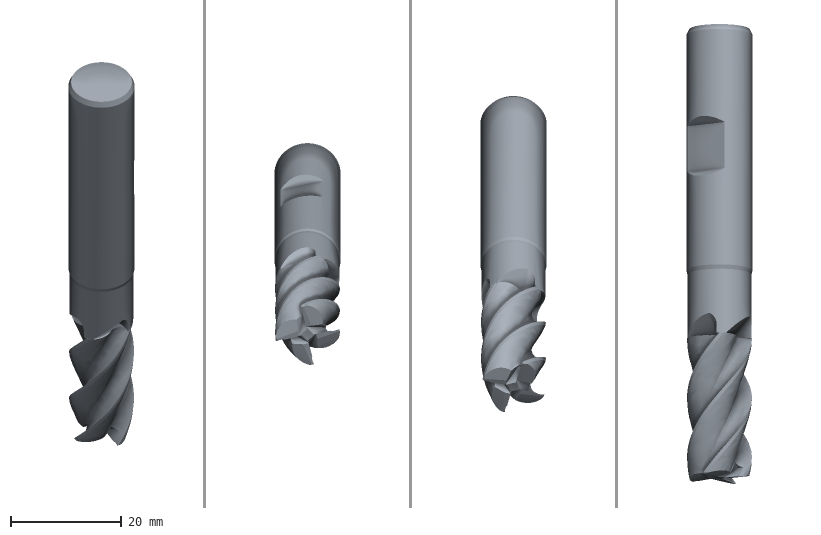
import cadquery as cq
import math

total_length = 83.0
shank_diameter = 12.0
shank_radius = shank_diameter / 2
cutter_diameter = 11.8
cutter_radius = cutter_diameter / 2

cutter_length = 26.0
neck_top = 37.8
neck_radius = 5.8
end_chamfer_height = 1.0
end_chamfer_width = 0.5
neck_cone_height = 0.75

flat_depth = 1.5
flat_center_z = 60.6
flat_length = 8.5
flat_wall_angle = 50.0

flute_count = 4
flute_step = 360.0 / flute_count
helix_angle = 40.0
helix_pitch = math.pi * cutter_diameter / math.tan(math.radians(helix_angle))
cutter_twist = 360.0 * cutter_length / helix_pitch

land_radius = 5.8
land_angle = 8.0
back_radius = 4.65
back_angle = 37.0
heel_radius = 3.4
heel_angle = 61.0
trough_radius = 3.4
trough_angle = 78.0

runout_top = 29.7
runout_slope = 46.0
runout_turn = 22.0
runout_wall = 2.65
runout_corner = 1.25

corner_chamfer = 0.25
dish_depth = 0.25
end_land = 0.5
clearance_angle = 15.0
gash_height = 2.3
gash_inner = 0.8
gash_width = 1.4
gash_lean = 35.0


def polar(radius, angle):
    """Point at a radius and an angle in degrees, in the XY plane."""
    return (radius * math.cos(math.radians(angle)), radius * math.sin(math.radians(angle)))


def clamping_flat():
    """Trapezoid notch across the shank, narrowing toward its flat floor."""
    floor_y = shank_radius - flat_depth
    half_floor = flat_length / 2
    half_mouth = half_floor + flat_depth / math.tan(math.radians(flat_wall_angle))
    return (
        cq.Workplane("YZ", origin=(0, 0, flat_center_z))
        .moveTo(floor_y, -half_floor)
        .lineTo(shank_radius, -half_mouth)
        .lineTo(shank_radius, half_mouth)
        .lineTo(floor_y, half_floor)
        .close()
        .extrude(shank_radius, both=True)
    )


def flute_runout(index):
    """Ramp that lets one flute run out of the neck, closed by an upright wall on one side."""
    ramp_run = (runout_top - cutter_length) / math.tan(math.radians(runout_slope))
    ramp = (
        cq.Workplane("XZ")
        .moveTo(neck_radius - ramp_run, cutter_length)
        .lineTo(neck_radius, cutter_length)
        .lineTo(neck_radius, runout_top)
        .close()
        .extrude(shank_diameter, both=True)
        .rotate((0, 0, 0), (0, 0, 1), runout_turn)
    )
    wall_side = (
        cq.Workplane("XY", origin=(0, runout_wall - shank_diameter, cutter_length))
        .rect(2 * shank_diameter, 2 * shank_diameter)
        .extrude(shank_diameter)
    )
    runout = ramp.intersect(wall_side)
    runout = runout.faces(">Y").edges("not(|Z or #Z)").fillet(runout_corner)
    return runout.rotate((0, 0, 0), (0, 0, 1), index * flute_step)


def make_shank():
    """Shank and slimmer neck, with the clamping flat and the flute run-outs."""
    shank = (
        cq.Workplane("XZ")
        .moveTo(0, cutter_length)
        .lineTo(neck_radius, cutter_length)
        .lineTo(neck_radius, neck_top)
        .lineTo(shank_radius, neck_top + neck_cone_height)
        .lineTo(shank_radius, total_length - end_chamfer_height)
        .lineTo(shank_radius - end_chamfer_width, total_length)
        .lineTo(0, total_length)
        .close()
        .revolve(360, (0, 0, 0), (0, 1, 0))
    )
    shank = shank.cut(clamping_flat())
    for index in range(flute_count):
        shank = shank.cut(flute_runout(index))
    return shank


def tooth_section():
    """Cross-section of the cutter with the first cutting edge on +X."""
    section = cq.Workplane("XY").moveTo(cutter_radius, 0)
    for index in range(flute_count):
        start = index * flute_step
        land_end = polar(land_radius, start + land_angle)
        back = polar(back_radius, start + back_angle)
        heel = polar(heel_radius, start + heel_angle)
        trough = polar(trough_radius, start + trough_angle)
        next_edge = polar(cutter_radius, start + flute_step)
        section = section.lineTo(*land_end).threePointArc(back, heel).threePointArc(trough, next_edge)
    return section.close()


def end_envelope():
    """Round blank with a chamfered corner and a shallow dish in its end."""
    return (
        cq.Workplane("XZ")
        .moveTo(0, dish_depth)
        .lineTo(cutter_radius - corner_chamfer, 0)
        .lineTo(cutter_radius, corner_chamfer)
        .lineTo(cutter_radius, cutter_length)
        .lineTo(0, cutter_length)
        .close()
        .revolve(360, (0, 0, 0), (0, 1, 0))
    )


def end_gash(index):
    """Sloping notch ahead of one cutting edge, leaning back with the helix."""
    return (
        cq.Workplane("XZ")
        .moveTo(gash_inner - gash_height, -gash_height)
        .lineTo(cutter_diameter, -gash_height)
        .lineTo(cutter_diameter, gash_height)
        .lineTo(gash_inner + gash_height, gash_height)
        .close()
        .extrude(gash_width)
        .rotate((0, 0, 0), (1, 0, 0), -gash_lean)
        .rotate((0, 0, 0), (0, 0, 1), index * flute_step)
    )


def end_clearance(index):
    """Wedge that lifts the end face of one tooth behind a narrow flat land."""
    return (
        cq.Workplane("YZ")
        .moveTo(end_land, 0)
        .lineTo(cutter_radius, 0)
        .lineTo(cutter_radius, (cutter_radius - end_land) * math.tan(math.radians(clearance_angle)))
        .close()
        .extrude(cutter_radius)
        .rotate((0, 0, 0), (0, 0, 1), index * flute_step)
    )


def make_cutter():
    """Four-flute cutting head."""
    cutter = tooth_section().twistExtrude(cutter_length, cutter_twist).intersect(end_envelope())
    for index in range(flute_count):
        cutter = cutter.cut(end_gash(index)).cut(end_clearance(index))
    return cutter


shank = make_shank()
cutter = make_cutter()

result = cq.Compound.makeCompound([shank.solids().val(), cutter.solids().val()])